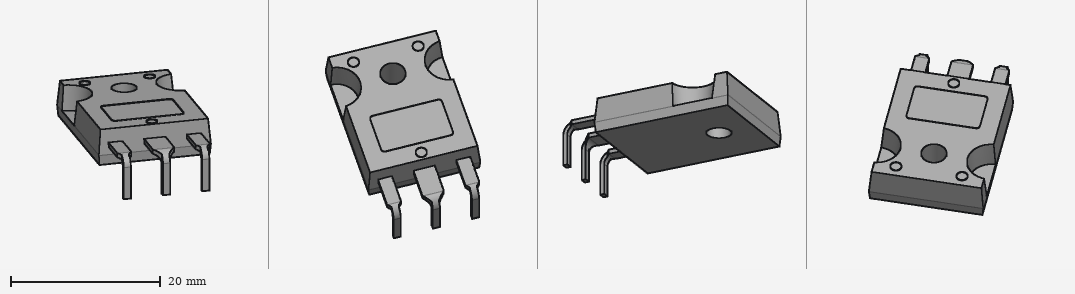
import cadquery as cq
import math

total_length = 25.6

body_length = 20.0
body_width = 15.6
body_height = 5.0
parting_height = 1.45
upper_height = body_height - parting_height
draft_angle = 5.0

hole_x = 5.3
hole_diameter = 3.4
notch_floor_diameter = 5.84
notch_top_diameter = notch_floor_diameter + 2 * upper_height * math.tan(math.radians(draft_angle))

recess_depth = 0.1
label_x_start = 11.0
label_length = 6.0
label_width = 10.0
label_corner_radius = 0.49
mark_diameter = 1.5
rear_mark_x = 2.0
rear_mark_y = 4.5
front_mark_x = 18.5

lead_pitch = 5.45
lead_thickness = 0.61
lead_embedment = 1.28
lead_top = 3.1
lead_drop = 3.0
lead_tip_width = 1.0
outer_lead_width = 1.95
middle_lead_width = 2.97
bend_run = 1.54
outer_bend_drop = 1.54
inner_bend_drop = 1.77
outer_bend_bulge = 0.35
inner_bend_bulge = 0.28
bend_start_x = total_length - bend_run
lead_root_x = body_length - lead_embedment


def drafted_block(height):
    """Block rising from the parting outline; a negative height goes down."""
    return (
        cq.Workplane("XY", origin=(body_length / 2, 0, parting_height))
        .rect(body_length, body_width)
        .extrude(height, taper=draft_angle)
    )


def clamp_notch(side):
    """Conical cutter centred on the body edge, standing on the parting plane."""
    cone = cq.Solid.makeCone(
        notch_floor_diameter / 2,
        notch_top_diameter / 2,
        upper_height,
        pnt=cq.Vector(hole_x, side * body_width / 2, parting_height),
    )
    return cq.Workplane(obj=cone)


def make_body():
    body = drafted_block(upper_height).union(drafted_block(-parting_height))
    for side in (-1, 1):
        body = body.cut(clamp_notch(side))
    hole = cq.Workplane("XY").center(hole_x, 0).circle(hole_diameter / 2).extrude(body_height)
    return body.cut(hole)


def top_recesses():
    floor = cq.Workplane("XY", origin=(0, 0, body_height - recess_depth))
    label = (
        floor.center(label_x_start + label_length / 2, 0)
        .rect(label_length, label_width)
        .extrude(recess_depth)
        .edges("|Z")
        .fillet(label_corner_radius)
    )
    mark_centers = [(rear_mark_x, -rear_mark_y), (rear_mark_x, rear_mark_y), (front_mark_x, 0)]
    marks = floor.pushPoints(mark_centers).circle(mark_diameter / 2).extrude(recess_depth)
    return label.union(marks)


def make_lead(y, root_width):
    """Bent strip trimmed to a plan outline that narrows at 45 degrees from the bend start."""
    lead_underside = lead_top - lead_thickness
    inner_face_x = total_length - lead_thickness
    strip = (
        cq.Workplane("XZ", origin=(0, y, 0))
        .moveTo(lead_root_x, lead_top)
        .lineTo(bend_start_x, lead_top)
        .sagittaArc((total_length, lead_top - outer_bend_drop), outer_bend_bulge)
        .lineTo(total_length, -lead_drop)
        .lineTo(inner_face_x, -lead_drop)
        .lineTo(inner_face_x, lead_top - inner_bend_drop)
        .sagittaArc((bend_start_x, lead_underside), -inner_bend_bulge)
        .lineTo(lead_root_x, lead_underside)
        .close()
        .extrude(root_width / 2, both=True)
    )
    half_root = root_width / 2
    half_tip = lead_tip_width / 2
    taper_end_x = bend_start_x + half_root - half_tip
    plan = (
        cq.Workplane("XY", origin=(0, y, -lead_drop))
        .polyline([
            (lead_root_x, -half_root),
            (bend_start_x, -half_root),
            (taper_end_x, -half_tip),
            (total_length, -half_tip),
            (total_length, half_tip),
            (taper_end_x, half_tip),
            (bend_start_x, half_root),
            (lead_root_x, half_root),
        ])
        .close()
        .extrude(lead_drop + lead_top)
    )
    return strip.intersect(plan)


result = make_body().cut(top_recesses())
for row, root_width in ((-1, outer_lead_width), (0, middle_lead_width), (1, outer_lead_width)):
    result = result.union(make_lead(row * lead_pitch, root_width))